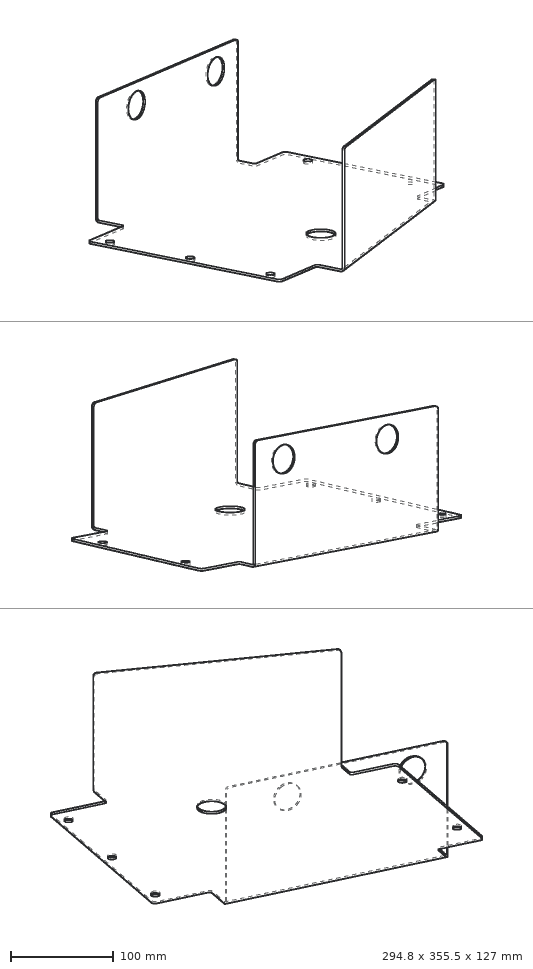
import cadquery as cq
import math

sheet = 2.5
bend_outer_radius = 4.0
bend_inner_radius = bend_outer_radius - sheet
wall_height = 127.0
corner_radius = 4.0
notch_radius = 2.5

overall_width = 294.8
overall_length = 355.5
wall_front_y = 63.0
wall_rear_y = 305.0
front_tab_left = 33.8
front_tab_width = 228.5
rear_tab_left = 22.8
rear_tab_width = 191.0
slant_run = 58.0

screw_hole_diameter = 8.5
front_screw_y = 11.5
front_screw_first_x = 52.3
front_screw_pitch = 95.3
front_screw_count = 3
rear_screw_y = 344.2
rear_screw_first_x = 58.3
rear_screw_pitch = 120.5
rear_screw_count = 2
port_diameter = 28.8
base_port_x = 207.3
base_port_y = 150.0
wall_port_z = 103.0
wall_port_ys = (130.0, 267.0)

slant_angle = math.atan2(slant_run, wall_rear_y - wall_front_y)
straight_bend_x = bend_outer_radius
slant_front_x = overall_width - bend_outer_radius * math.cos(slant_angle)
slant_rear_x = slant_front_x - slant_run
front_tab_right = front_tab_left + front_tab_width
rear_tab_right = rear_tab_left + rear_tab_width


def round_corners(plate, points, radius):
    """Round the vertical plate edges standing at the given XY points."""
    for x, y in points:
        edge = cq.selectors.NearestToPointSelector((x, y, sheet / 2))
        plate = plate.edges("|Z").edges(edge).fillet(radius)
    return plate


def base_plate():
    """Flat base with a tab beyond each end of the walls."""
    front_corners = [(front_tab_left, 0), (front_tab_right, 0)]
    rear_corners = [(rear_tab_right, overall_length), (rear_tab_left, overall_length)]
    front_notches = [(front_tab_left, wall_front_y), (front_tab_right, wall_front_y)]
    rear_notches = [(rear_tab_right, wall_rear_y), (rear_tab_left, wall_rear_y)]
    outline = [
        front_notches[0],
        *front_corners,
        front_notches[1],
        (slant_front_x, wall_front_y),
        (slant_rear_x, wall_rear_y),
        rear_notches[0],
        *rear_corners,
        rear_notches[1],
        (straight_bend_x, wall_rear_y),
        (straight_bend_x, wall_front_y),
    ]
    plate = cq.Workplane("XY").polyline(outline).close().extrude(sheet)
    plate = round_corners(plate, front_corners + rear_corners, corner_radius)
    return round_corners(plate, front_notches + rear_notches, notch_radius)


def bent_wall(start, end):
    """Upright wall with its bend, on the left-hand side going from start to end."""
    along = cq.Vector(end[0] - start[0], end[1] - start[1], 0)
    outward = cq.Vector(0, 0, 1).cross(along)
    plane = cq.Plane(origin=(*start, 0), xDir=outward.toTuple(), normal=along.toTuple())
    diagonal = math.sqrt(0.5)
    outer_mid = (bend_outer_radius * diagonal, bend_outer_radius * (1 - diagonal))
    inner_mid = (bend_inner_radius * diagonal, bend_outer_radius - bend_inner_radius * diagonal)
    wall = (
        cq.Workplane(plane)
        .threePointArc(outer_mid, (bend_outer_radius, bend_outer_radius))
        .lineTo(bend_outer_radius, wall_height)
        .lineTo(bend_inner_radius, wall_height)
        .lineTo(bend_inner_radius, bend_outer_radius)
        .threePointArc(inner_mid, (0, sheet))
        .close()
        .extrude(along.Length)
    )
    top_ends = wall.faces(">Z").edges(cq.selectors.PerpendicularDirSelector(along))
    return top_ends.fillet(corner_radius)


def screw_row(first_x, pitch, count, y):
    """Cutters for a row of screw holes through the base."""
    centers = [(first_x + i * pitch, y) for i in range(count)]
    return cq.Workplane("XY").pushPoints(centers).circle(screw_hole_diameter / 2).extrude(sheet)


def wall_ports():
    """Cutters for the round ports through the straight wall."""
    centers = [(y, wall_port_z) for y in wall_port_ys]
    return cq.Workplane("YZ").pushPoints(centers).circle(port_diameter / 2).extrude(sheet)


straight_wall = bent_wall((straight_bend_x, wall_front_y), (straight_bend_x, wall_rear_y))
slanted_wall = bent_wall((slant_rear_x, wall_rear_y), (slant_front_x, wall_front_y))
base_port = (
    cq.Workplane("XY").center(base_port_x, base_port_y).circle(port_diameter / 2).extrude(sheet)
)

result = (
    base_plate()
    .union(straight_wall)
    .union(slanted_wall)
    .cut(screw_row(front_screw_first_x, front_screw_pitch, front_screw_count, front_screw_y))
    .cut(screw_row(rear_screw_first_x, rear_screw_pitch, rear_screw_count, rear_screw_y))
    .cut(base_port)
    .cut(wall_ports())
)